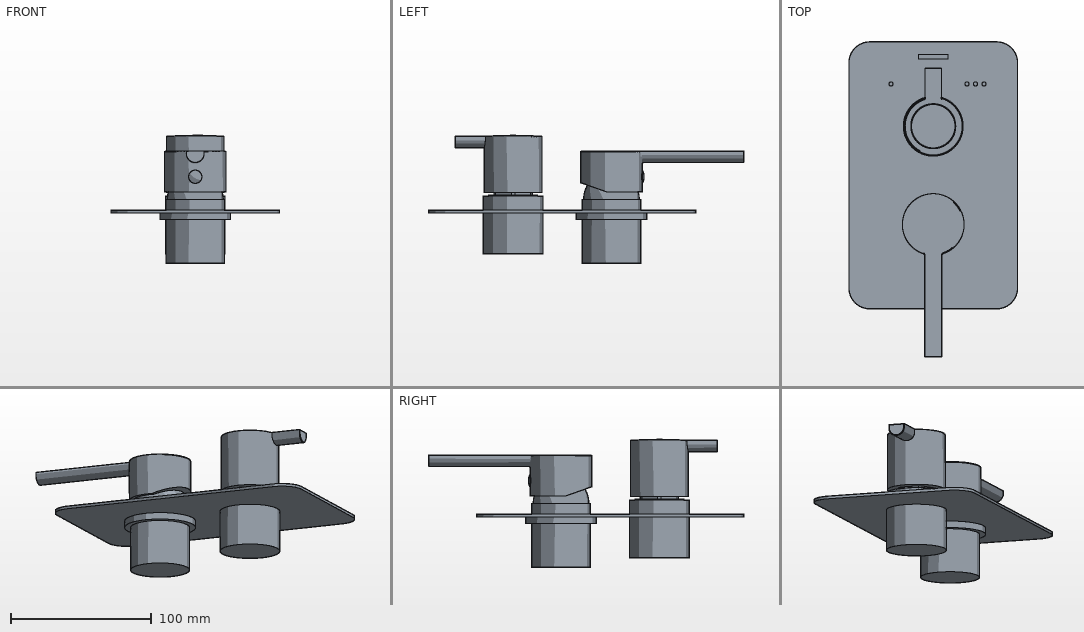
import cadquery as cq
import math

plate_width = 120.0
plate_length = 190.0
plate_thickness = 2.0
plate_corner_radius = 15.0
knob_spacing = 70.0
diverter_y = knob_spacing / 2
mixer_y = -knob_spacing / 2

mark_depth = 0.2
dot_diameter = 3.0
dot_pitch = 6.0
dot_row_x = 30.0
dot_row_y = 65.0
dot_pair_y = 72.1
bar_mark_width = 21.0
bar_mark_height = 3.4
bar_mark_y = 84.2

diverter_sleeve_diameter = 42.5
mixer_sleeve_diameter = 42.0
diverter_sleeve_bottom = -29.1
diverter_sleeve_top = 12.0
mixer_sleeve_bottom = -35.8
mixer_sleeve_top = 9.6
ring_diameter = 50.5
ring_height = 4.7

collar_diameter = 34.7
collar_height = 0.7
stem_across_flats = 27.3
stem_diameter = 30.2
diverter_knob_diameter = 41.2
diverter_knob_bottom = 14.5
diverter_knob_top = 54.7
diverter_handle_width = 11.6
diverter_handle_depth = 8.3
diverter_handle_side = 2.0
diverter_handle_end = 76.4
diverter_handle_end_chamfer = 0.5
button_diameter = 31.0
button_recess_diameter = 32.0
button_recess_depth = 2.2
button_stand_off = 0.2
button_dome_rise = 0.5

dome_radius = 20.0
mixer_knob_diameter = 44.0
mixer_knob_bottom = 15.0
mixer_knob_top = 44.0
rear_relief_height = 6.5
rear_relief_start = 3.4
lever_diameter = 12.5
lever_depth = 8.0
lever_end = -129.0
lever_end_fillet = 0.7
lever_root_fillet = 1.0
lever_root_box = 2.2
knob_edge_fillet = 0.7
plug_diameter = 9.5
plug_z = 25.8
plug_insert = 4.5
plug_dome_rise = 1.3


def cylinder(y, diameter, bottom, top):
    """Upright cylinder on the plate's centre line."""
    return cq.Workplane("XY", origin=(0, y, bottom)).circle(diameter / 2).extrude(top - bottom)


def domed_rod(plane, diameter, side_length, dome_rise):
    """Rod standing on the plane, with straight sides and a shallow spherical end."""
    radius = diameter / 2
    sphere_radius = (radius**2 + dome_rise**2) / (2 * dome_rise)
    rod = plane.circle(radius).extrude(side_length + dome_rise)
    ball = plane.workplane(offset=side_length + dome_rise - sphere_radius).sphere(sphere_radius)
    return rod.intersect(ball)


def make_plate():
    """Cover plate with two sleeve holes and shallow engraved marks."""
    plate = (
        cq.Workplane("XY")
        .rect(plate_width, plate_length)
        .extrude(plate_thickness)
        .edges("|Z")
        .fillet(plate_corner_radius)
    )
    for y, diameter in ((diverter_y, diverter_sleeve_diameter), (mixer_y, mixer_sleeve_diameter)):
        plate = plate.cut(cylinder(y, diameter, 0, plate_thickness))

    mark_floor = cq.Workplane("XY", origin=(0, 0, plate_thickness - mark_depth))
    dot_xs = [-dot_row_x] + [dot_row_x + i * dot_pitch for i in (-1, 0, 1)]
    dot_centers = [(x, dot_row_y) for x in dot_xs]
    dot_centers += [(side * dot_pitch / 2, dot_pair_y) for side in (-1, 1)]
    dots = mark_floor.pushPoints(dot_centers).circle(dot_diameter / 2).extrude(mark_depth)
    bar = mark_floor.center(0, bar_mark_y).rect(bar_mark_width, bar_mark_height).extrude(mark_depth)
    return plate.cut(dots).cut(bar)


def make_ring():
    """Stop ring around the mixer sleeve, against the back of the plate."""
    bore = cylinder(mixer_y, mixer_sleeve_diameter, -ring_height, 0)
    return cylinder(mixer_y, ring_diameter, -ring_height, 0).cut(bore)


def make_stem():
    """Round collar with a hexagonal drive rounded at its corners."""
    collar_top = diverter_sleeve_top + collar_height
    collar = cylinder(diverter_y, collar_diameter, diverter_sleeve_top, collar_top)
    hexagon = (
        cq.Workplane("XY", origin=(0, diverter_y, collar_top))
        .polygon(6, stem_across_flats / math.cos(math.pi / 6))
        .extrude(diverter_knob_bottom - collar_top)
    )
    drive = hexagon.intersect(cylinder(diverter_y, stem_diameter, collar_top, diverter_knob_bottom))
    return collar.union(drive)


def make_diverter_knob():
    """Knob with a rear handle and a recess for the push button."""
    knob = cylinder(diverter_y, diverter_knob_diameter, diverter_knob_bottom, diverter_knob_top)
    knob = knob.faces(">Z").edges().fillet(knob_edge_fillet)

    half_width = diverter_handle_width / 2
    side_bottom = diverter_knob_top - diverter_handle_side
    handle = (
        cq.Workplane("XZ", origin=(0, diverter_y, 0))
        .moveTo(-half_width, diverter_knob_top)
        .lineTo(half_width, diverter_knob_top)
        .lineTo(half_width, side_bottom)
        .threePointArc((0, diverter_knob_top - diverter_handle_depth), (-half_width, side_bottom))
        .close()
        .extrude(diverter_y - diverter_handle_end)
        .faces(">Y")
        .edges()
        .chamfer(diverter_handle_end_chamfer)
    )
    recess = cylinder(diverter_y, button_recess_diameter,
                      diverter_knob_top - button_recess_depth, diverter_knob_top)
    return knob.union(handle).cut(recess)


def make_button():
    """Shallow-domed push button seated in the recess of the diverter knob."""
    seat = cq.Workplane("XY", origin=(0, diverter_y, diverter_knob_top - button_recess_depth))
    return domed_rod(seat, button_diameter, button_recess_depth + button_stand_off, button_dome_rise)


def make_dome():
    """Half-ball cover of the mixer cartridge, standing on its sleeve."""
    ball = cq.Workplane("XY", origin=(0, mixer_y, mixer_sleeve_top)).sphere(dome_radius)
    upper_half = cylinder(mixer_y, 2 * dome_radius, mixer_sleeve_top, mixer_sleeve_top + dome_radius)
    return ball.intersect(upper_half)


def make_plug():
    """Domed plug in the front of the mixer knob."""
    seat = cq.Workplane("XZ", origin=(0, mixer_y - mixer_knob_diameter / 2 + plug_insert, plug_z))
    return domed_rod(seat, plug_diameter, plug_insert, plug_dome_rise)


def make_mixer_lever(dome, plug):
    """Mixer knob and its bar, hollowed for the dome and drilled for the plug."""
    radius = mixer_knob_diameter / 2
    knob = cylinder(mixer_y, mixer_knob_diameter, mixer_knob_bottom, mixer_knob_top)
    knob = knob.faces(">Z").edges().fillet(knob_edge_fillet)

    bar_length = mixer_y - lever_end
    bar_center_z = mixer_knob_top - lever_depth + lever_diameter / 2
    bar = (
        cq.Workplane("XZ", origin=(0, mixer_y, bar_center_z))
        .circle(lever_diameter / 2)
        .extrude(bar_length)
        .faces("<Y")
        .edges()
        .fillet(lever_end_fillet)
    )
    above_top = cylinder(mixer_y, 3 * bar_length, mixer_knob_top, mixer_knob_top + lever_diameter)

    relief = (
        cq.Workplane("YZ", origin=(0, mixer_y, mixer_knob_bottom))
        .moveTo(rear_relief_start, 0)
        .lineTo(radius, 0)
        .lineTo(radius, rear_relief_height)
        .close()
        .extrude(radius, both=True)
    )
    lever = knob.union(bar.cut(above_top))
    knob_front = mixer_y - radius
    joint_region = cq.selectors.BoxSelector(
        (-lever_diameter, knob_front - lever_root_box, mixer_knob_bottom),
        (lever_diameter, knob_front + lever_root_box, mixer_knob_top - knob_edge_fillet),
    )
    lever = lever.edges(joint_region).fillet(lever_root_fillet)
    return lever.cut(relief).cut(dome).cut(plug)


plate = make_plate()
diverter_sleeve = cylinder(diverter_y, diverter_sleeve_diameter, diverter_sleeve_bottom, diverter_sleeve_top)
stem = make_stem()
diverter_knob = make_diverter_knob()
button = make_button()
mixer_sleeve = cylinder(mixer_y, mixer_sleeve_diameter, mixer_sleeve_bottom, mixer_sleeve_top)
ring = make_ring()
dome = make_dome()
plug = make_plug()
mixer_lever = make_mixer_lever(dome, plug)

bodies = [plate, diverter_sleeve, stem, diverter_knob, button,
          mixer_sleeve, ring, dome, plug, mixer_lever]
result = cq.Compound.makeCompound([body.val() for body in bodies])